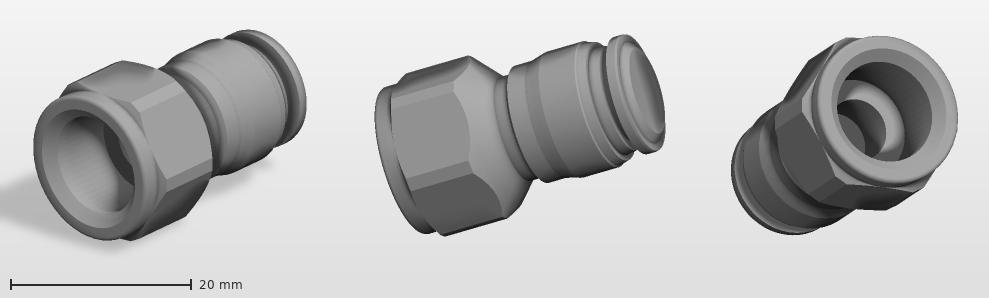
import cadquery as cq
import math

total_length = 29.4

across_flats = 17.0
across_corners = 18.73
collar_radius = across_flats / 2
nut_start = 2.03
nut_chamfer_angle = 30.0
collar_fillet = 0.45

stem_radius = 6.0
stem_start = 13.5
stem_end = 15.0

shoulder_radius = 6.75
shoulder_start = stem_end + 0.45
shoulder_end = 17.6
sleeve_radius = 7.25
sleeve_start = 19.45
sleeve_end = 23.78
sleeve_chamfer = 0.18
cap_base_radius = sleeve_radius - sleeve_chamfer
cap_base = sleeve_end + sleeve_chamfer
cap_top_radius = 6.82
cap_top = 25.02
collet_base_radius = 6.2
collet_top_radius = 6.03
collet_top = 26.28

neck_radius = 4.97
neck_fillet = 0.55
flange_radius = 6.75
flange_bottom = 27.4
flange_top = 28.66
flange_edge_width = 0.1
flange_edge_height = 0.25
tip_base_radius = 5.85
tip_radius = 4.9

bore_radius = 5.73
bore_mouth_radius = 6.95
bore_depth = 8.82
mouth_depth = bore_mouth_radius - bore_radius
inner_hole_radius = 3.5
inner_hole_depth = 14.7


def revolve_about_y(profile):
    """Revolve a closed (radius, Y) profile around the Y axis."""
    return profile.close().revolve(360, (0, 0, 0), (0, 1, 0))


def hex_prism(flat_distance, start_angle):
    """Hexagonal prism along Y, with its first corner at start_angle from +X."""
    corner_diameter = flat_distance / math.cos(math.radians(30))
    prism = cq.Workplane("XZ").polygon(6, corner_diameter).extrude(-total_length)
    return prism.rotate((0, 0, 0), (0, 1, 0), start_angle)


def make_nut():
    """Hexagon trimmed by a shallow cone at the front and a 45 degree cone at the rear."""
    outer_radius = across_flats / math.sqrt(3)
    overhang = outer_radius - collar_radius
    front_rise = overhang * math.tan(math.radians(nut_chamfer_angle))
    rear_corner = stem_start - (outer_radius - stem_radius)
    envelope = revolve_about_y(
        cq.Workplane("XY")
        .moveTo(0, nut_start)
        .lineTo(collar_radius, nut_start)
        .lineTo(outer_radius, nut_start + front_rise)
        .lineTo(outer_radius, rear_corner)
        .lineTo(stem_radius, stem_start)
        .lineTo(0, stem_start)
    )
    hexagon = hex_prism(across_flats, 0)
    corner_flats = hex_prism(across_corners, 30)
    return envelope.intersect(hexagon).intersect(corner_flats)


def make_collar():
    """Round collar at the threaded end with a rounded rim."""
    collar = cq.Workplane("XZ").circle(collar_radius).extrude(-nut_start)
    return collar.faces("<Y").edges().fillet(collar_fillet)


def make_body():
    """Stem, sleeve and release ring as one turned profile."""
    arc_offset = neck_fillet * (1 - math.sqrt(0.5))
    return revolve_about_y(
        cq.Workplane("XY")
        .moveTo(0, stem_start)
        .lineTo(stem_radius, stem_start)
        .lineTo(stem_radius, stem_end)
        .lineTo(shoulder_radius, shoulder_start)
        .lineTo(shoulder_radius, shoulder_end)
        .lineTo(sleeve_radius, sleeve_start)
        .lineTo(sleeve_radius, sleeve_end)
        .lineTo(cap_base_radius, cap_base)
        .lineTo(cap_top_radius, cap_top)
        .lineTo(collet_base_radius, cap_top)
        .lineTo(collet_top_radius, collet_top)
        .lineTo(neck_radius, collet_top)
        .lineTo(neck_radius, flange_bottom - neck_fillet)
        .threePointArc(
            (neck_radius + arc_offset, flange_bottom - arc_offset),
            (neck_radius + neck_fillet, flange_bottom),
        )
        .lineTo(flange_radius, flange_bottom)
        .lineTo(flange_radius, flange_top - flange_edge_height)
        .lineTo(flange_radius - flange_edge_width, flange_top)
        .lineTo(tip_base_radius, flange_top)
        .lineTo(tip_radius, total_length)
        .lineTo(0, total_length)
    )


def make_bore():
    """Countersunk main bore followed by a narrower blind hole."""
    return revolve_about_y(
        cq.Workplane("XY")
        .moveTo(0, 0)
        .lineTo(bore_mouth_radius, 0)
        .lineTo(bore_radius, mouth_depth)
        .lineTo(bore_radius, bore_depth)
        .lineTo(inner_hole_radius, bore_depth)
        .lineTo(inner_hole_radius, inner_hole_depth)
        .lineTo(0, inner_hole_depth)
    )


result = make_nut().union(make_collar()).union(make_body()).cut(make_bore())